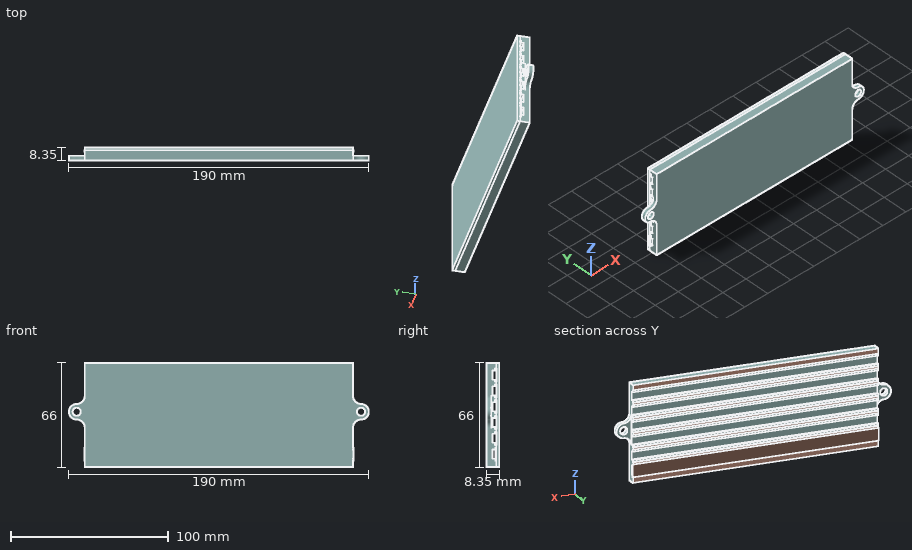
import cadquery as cq

panel_length = 170.0
panel_height = 66.0
total_depth = 8.35
cover_thickness = 2.0
housing_depth = total_depth - cover_thickness

ear_radius = 5.0
ear_blend_radius = 5.0
ear_hole_diameter = 5.0
ear_thickness = 3.15
ear_center_z = 2.0
ear_reach = ear_blend_radius

channel_count = 6
channel_pitch = 10.0
channels_center_z = 0.2
lowest_channel_z = channels_center_z - (channel_count - 1) / 2 * channel_pitch
channel_heights = [lowest_channel_z + i * channel_pitch for i in range(channel_count)]
strip_seat_width = 8.2
strip_seat_depth = 0.75
channel_width = 5.6
channel_depth = 2.25

strip_thickness = strip_seat_depth
strip_overhang = 0.25
strip_length = panel_length + 2 * strip_overhang


def slab(height, front_y, depth, center_z=0.0, length=panel_length):
    """Rectangular slab, centred in X, that starts at front_y and extends toward +Y."""
    block = cq.Workplane("XY").box(length, depth, height, centered=(True, False, True))
    return block.translate((0, front_y, center_z))


def make_ear(side):
    """Round ear with concave blends to the panel end; side is -1 or 1."""
    root_x = side * panel_length / 2
    center_x = side * (panel_length / 2 + ear_reach)
    tip_x = center_x + side * ear_radius
    blend_z = ear_radius + ear_blend_radius
    blend_middle = ear_blend_radius * (1 - 0.5**0.5)
    middle_x = root_x + side * blend_middle
    middle_z = ear_radius + blend_middle
    ear = (
        cq.Workplane("XZ")
        .moveTo(root_x, blend_z)
        .threePointArc((middle_x, middle_z), (center_x, ear_radius))
        .threePointArc((tip_x, 0), (center_x, -ear_radius))
        .threePointArc((middle_x, -middle_z), (root_x, -blend_z))
        .close()
        .extrude(-ear_thickness)
    )
    hole = cq.Workplane("XZ").center(center_x, 0).circle(ear_hole_diameter / 2).extrude(-ear_thickness)
    return ear.cut(hole).translate((0, 0, ear_center_z))


def make_housing():
    """Front plate with ears and stepped channels open toward the cover."""
    housing = slab(panel_height, 0, housing_depth)
    for side in (-1, 1):
        housing = housing.union(make_ear(side))
    for z in channel_heights:
        seat = slab(strip_seat_width, housing_depth - strip_seat_depth, strip_seat_depth, z)
        channel = slab(channel_width, housing_depth - channel_depth, channel_depth, z)
        housing = housing.cut(seat).cut(channel)
    return housing


def make_cover():
    """Plain plate closing the back of the housing."""
    return slab(panel_height, housing_depth, cover_thickness)


def make_strip():
    """Flat strip seated in the lowest channel, against the cover."""
    front_y = housing_depth - strip_thickness
    return slab(strip_seat_width, front_y, strip_thickness, lowest_channel_z, strip_length)


housing = make_housing()
cover = make_cover()
strip = make_strip()

result = cq.Compound.makeCompound([housing.val(), cover.val(), strip.val()])